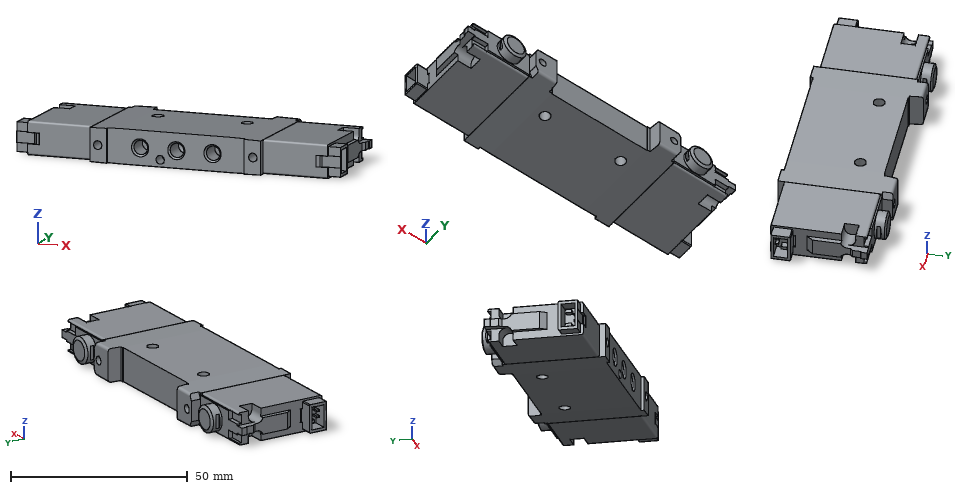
import cadquery as cq
import math


total_length = 98.3
total_depth = 33.47
body_thickness = 10.25

center_half_length = 17.0
center_front = 0.85
center_rear = 29.0
flange_outer = 25.95
flange_thickness = 9.9
flange_front_inner = 20.9
flange_rear = 29.2
flange_shoulder = 18.0
tab_inner = 18.4
tab_rear = 33.15
tab_fillet = 0.85
tab_bevel_length = 1.1
tab_bevel_height = 2.0
tab_bevel_front = 30.1

port_pitch = 11.0
port_diameter = 4.13
port_mouth_diameter = 5.2
port_depth = 7.0
pilot_port_x = -4.9
pilot_port_z = -3.0
pilot_port_diameter = 2.5
pilot_port_depth = 5.0
drill_point_angle = 118.0
flange_hole_x = 23.55
flange_hole_diameter = 2.5
mount_hole_x = 13.55
mount_hole_y = 21.35
mount_hole_diameter = 3.3

cover_end = 45.5
cover_start = 40.75
pilot_front = 1.8
pilot_step = 29.6
pilot_rear = 30.1
pilot_thickness = 9.8
pilot_fillet = 0.6
rear_plate_thickness = 8.5

groove_diameter = 4.13
groove_y = 24.3
corner_notch_front = 28.7
corner_notch_bottom = 1.6

slide_half_width = 2.5
slide_face = 46.9
slide_foot_y = 12.3
slide_ramp_y = 14.2
bar_half_width = 1.15
bar_step_y = 25.1
bar_face_y = 25.9
bar_face = 47.6
bar_lip_y = 28.3
bar_lip = 47.95

plug_front = 2.65
plug_rear = 8.3
plug_half_height = 4.3
plug_corner = 0.3
plug_cavity_front = 3.35
plug_cavity_rear = 7.4
plug_cavity_half_height = 3.4
plug_cavity_depth = 4.5
contact_front = 5.0
contact_rear = 6.8
contact_z = 2.05
contact_thickness = 0.9
contact_tip = 46.6
key_depth = 0.9
key_z = 0.9
key_thickness = 0.5
latch_half_width = 1.65
latch_height = 0.1
latch_recess_end = 42.05
latch_step_x = 43.6
latch_step_y = 2.3
latch_ramp_start = 43.1
latch_ramp_end_y = 1.95
plug_socket_rear = 8.95
plug_socket_half_height = 2.05
plug_socket_depth = 0.5

knob_x = 33.45
knob_diameter = 8.1
knob_bevel_width = 1.0
knob_bevel_height = 0.45
knob_slot_front = 30.8
knob_slot_floor_rear = 31.75
knob_slot_rear = 32.15
knob_slot_half_width = 2.1
knob_slot_depth = 0.6

total_half = total_length / 2


def box(x_range, y_range, z_range):
    """Axis-aligned box between pairs of limits."""
    size = [abs(b - a) for a, b in (x_range, y_range, z_range)]
    low = [min(pair) for pair in (x_range, y_range, z_range)]
    return cq.Workplane("XY").box(*size, centered=False).translate(tuple(low))


def bar_along_y(x, z, diameter, y_start, y_end):
    """Round bar parallel to Y."""
    return (
        cq.Workplane("XZ", origin=(x, y_start, z))
        .circle(diameter / 2)
        .extrude(y_start - y_end)
    )


def drilled_hole(x, z, diameter, depth, pointed):
    """Blind hole cutter entering the front of the centre block, flat or with a drill point."""
    radius = diameter / 2
    bottom = center_front + depth
    tip = bottom + radius / math.tan(math.radians(drill_point_angle / 2))
    profile = [(0, center_front), (radius, center_front), (radius, bottom)]
    profile.append((0, tip if pointed else bottom))
    return (
        cq.Workplane("XY")
        .polyline(profile)
        .close()
        .revolve(360, (0, 0), (0, 1))
        .translate((x, 0, z))
    )


def port_mouth(x):
    """45 degree countersink of a port."""
    mouth = port_mouth_diameter / 2
    return (
        cq.Workplane("XY")
        .polyline([(0, center_front), (mouth, center_front), (0, center_front + mouth)])
        .close()
        .revolve(360, (0, 0), (0, 1))
        .translate((x, 0, 0))
    )


def make_flange_plan():
    """Left flange outline in X and Y, running into the centre block."""
    return [
        (-flange_outer, 0),
        (-flange_front_inner, 0),
        (-flange_front_inner, center_front),
        (-center_half_length, center_front),
        (-center_half_length, flange_rear),
        (-flange_shoulder, flange_rear),
        (-tab_inner, tab_rear),
        (-flange_outer, tab_rear),
    ]


def make_flange():
    """Left end flange, its thickness tapering slightly towards the pilot unit."""
    plan = (
        cq.Workplane("XY", origin=(0, 0, -body_thickness / 2))
        .polyline(make_flange_plan())
        .close()
        .extrude(body_thickness)
    )
    outer_half = flange_thickness / 2
    inner_half = body_thickness / 2
    taper = (
        cq.Workplane("XZ")
        .polyline(
            [
                (-flange_outer, -outer_half),
                (-center_half_length, -inner_half),
                (-center_half_length, inner_half),
                (-flange_outer, outer_half),
            ]
        )
        .close()
        .extrude(-total_depth)
    )
    flange = plan.intersect(taper)
    flange = flange.faces(">Y").edges("<Z or >Z").fillet(tab_fillet)
    for side in (-1, 1):
        bevel = (
            cq.Workplane("XZ", origin=(0, tab_bevel_front, 0))
            .polyline(
                [
                    (-flange_outer, side * (inner_half - tab_bevel_height)),
                    (-flange_outer + tab_bevel_length, side * inner_half),
                    (-flange_outer, side * inner_half),
                ]
            )
            .close()
            .extrude(-total_depth)
        )
        flange = flange.cut(bevel)
    return flange


def make_valve_body():
    half = body_thickness / 2
    body = box(
        (-center_half_length, center_half_length), (center_front, center_rear), (-half, half)
    )
    flange = make_flange()
    body = body.union(flange).union(flange.mirror("YZ"))
    for index in (-1, 0, 1):
        x = index * port_pitch
        body = body.cut(drilled_hole(x, 0, port_diameter, port_depth, index == 0))
        body = body.cut(port_mouth(x))
    body = body.cut(
        drilled_hole(pilot_port_x, pilot_port_z, pilot_port_diameter, pilot_port_depth, True)
    )
    for side in (-1, 1):
        body = body.cut(bar_along_y(side * flange_hole_x, 0, flange_hole_diameter, 0, total_depth))
        body = body.cut(
            cq.Workplane("XY", origin=(side * mount_hole_x, mount_hole_y, -half))
            .circle(mount_hole_diameter / 2)
            .extrude(body_thickness)
        )
    return body


def make_housing_length(x_range):
    """A length of housing with rounded long edges and a thinner plate along the rear."""
    half = pilot_thickness / 2
    plate_half = rear_plate_thickness / 2
    block = box(x_range, (pilot_front, pilot_step), (-half, half)).edges("|X").fillet(pilot_fillet)
    return block.union(box(x_range, (pilot_step, pilot_rear), (-plate_half, plate_half)))


def make_slide():
    """Slide on the cover end, narrowing to a bar at the rear."""
    outline = [
        (-cover_end, slide_foot_y),
        (-slide_face, slide_ramp_y),
        (-slide_face, bar_step_y),
        (-bar_face, bar_face_y),
        (-bar_face, bar_lip_y),
        (-bar_lip, bar_lip_y),
        (-bar_lip, pilot_rear),
        (-cover_end, pilot_rear),
    ]
    slide = (
        cq.Workplane("XY", origin=(0, 0, -slide_half_width))
        .polyline(outline)
        .close()
        .extrude(2 * slide_half_width)
    )
    for side in (-1, 1):
        z_range = (side * bar_half_width, side * slide_half_width)
        slide = slide.cut(box((-bar_lip, -cover_end), (groove_y, pilot_rear), z_range))
    return slide


def groove_cutter(side):
    """Round-bottomed groove across the cover, open at the top (side 1) or bottom (side -1)."""
    radius = groove_diameter / 2
    floor = side * bar_half_width
    axis = floor + side * radius
    mouth = side * pilot_thickness / 2
    return (
        cq.Workplane("YZ", origin=(-total_half, 0, 0))
        .moveTo(groove_y - radius, mouth)
        .lineTo(groove_y - radius, axis)
        .threePointArc((groove_y, floor), (groove_y + radius, axis))
        .lineTo(groove_y + radius, mouth)
        .close()
        .extrude(total_half - cover_start)
    )


def make_plug():
    """Solid plug block with bevelled rear edges and a flat latch rib along its front."""
    x_range = (-total_half, -cover_end)
    height = (-plug_half_height, plug_half_height)
    plug = box(x_range, (plug_front, plug_rear), height)
    plug = plug.faces(">Y").edges("|X").chamfer(plug_corner)
    rib = box(
        x_range,
        (plug_front - latch_height, plug_front),
        (-latch_half_width, latch_half_width),
    )
    return plug.union(rib)


def make_cavity():
    """Plug cavity cutter that leaves the contacts and keys standing."""
    floor = -total_half + plug_cavity_depth
    cavity = box(
        (-total_half, floor),
        (plug_cavity_front, plug_cavity_rear),
        (-plug_cavity_half_height, plug_cavity_half_height),
    )
    for side in (-1, 1):
        contact = sorted(side * contact_z + end * contact_thickness / 2 for end in (-1, 1))
        key = sorted(side * key_z + end * key_thickness / 2 for end in (-1, 1))
        cavity = cavity.cut(box((-contact_tip, floor), (contact_front, contact_rear), contact))
        key_y = (plug_cavity_front, plug_cavity_front + key_depth)
        cavity = cavity.cut(box((-contact_tip, floor), key_y, key))
    return cavity


def make_latch_recess():
    """Recess in the cover front that receives the plug latch, with a step and a ramp."""
    floor = plug_front - latch_height
    return (
        cq.Workplane("XY", origin=(0, 0, -latch_half_width))
        .polyline(
            [
                (-cover_end, pilot_front),
                (-cover_end, floor),
                (-latch_step_x, floor),
                (-latch_step_x, latch_step_y),
                (-latch_ramp_start, latch_step_y),
                (-latch_recess_end, latch_ramp_end_y),
                (-latch_recess_end, pilot_front),
            ]
        )
        .close()
        .extrude(2 * latch_half_width)
    )


def make_knob():
    """Round override knob on the rear of the housing, bevelled at its end, with two side slots."""
    radius = knob_diameter / 2
    knob = (
        cq.Workplane("XY")
        .polyline(
            [
                (0, pilot_rear),
                (radius, pilot_rear),
                (radius, total_depth - knob_bevel_height),
                (radius - knob_bevel_width, total_depth),
                (0, total_depth),
            ]
        )
        .close()
        .revolve(360, (0, 0), (0, 1))
    )
    slot = (
        cq.Workplane("XY", origin=(0, 0, -knob_slot_half_width))
        .polyline(
            [
                (radius, knob_slot_front),
                (radius - knob_slot_depth, knob_slot_front),
                (radius - knob_slot_depth, knob_slot_floor_rear),
                (radius, knob_slot_rear),
            ]
        )
        .close()
        .extrude(2 * knob_slot_half_width)
    )
    return knob.cut(slot).cut(slot.mirror("YZ")).translate((-knob_x, 0, 0))


def make_pilot_unit():
    cover = make_housing_length((-cover_end, -cover_start)).union(make_slide())
    socket_z = (-plug_socket_half_height, plug_socket_half_height)
    cover = cover.cut(
        box((-cover_end, -cover_end + plug_socket_depth), (plug_rear, plug_socket_rear), socket_z)
    )
    for side in (-1, 1):
        cover = cover.cut(groove_cutter(side))
        notch_z = (side * corner_notch_bottom, side * rear_plate_thickness / 2)
        cover = cover.cut(
            box((-cover_end, -cover_start), (corner_notch_front, pilot_rear), notch_z)
        )
    cover = cover.cut(make_latch_recess()).union(make_plug()).cut(make_cavity())
    unit = cover.union(make_housing_length((-cover_start, -flange_outer)), clean=False)
    return unit.union(make_knob(), clean=False)


valve_body = make_valve_body()
left_pilot = make_pilot_unit()
right_pilot = left_pilot.mirror("YZ")

result = cq.Compound.makeCompound([valve_body.val(), left_pilot.val(), right_pilot.val()])